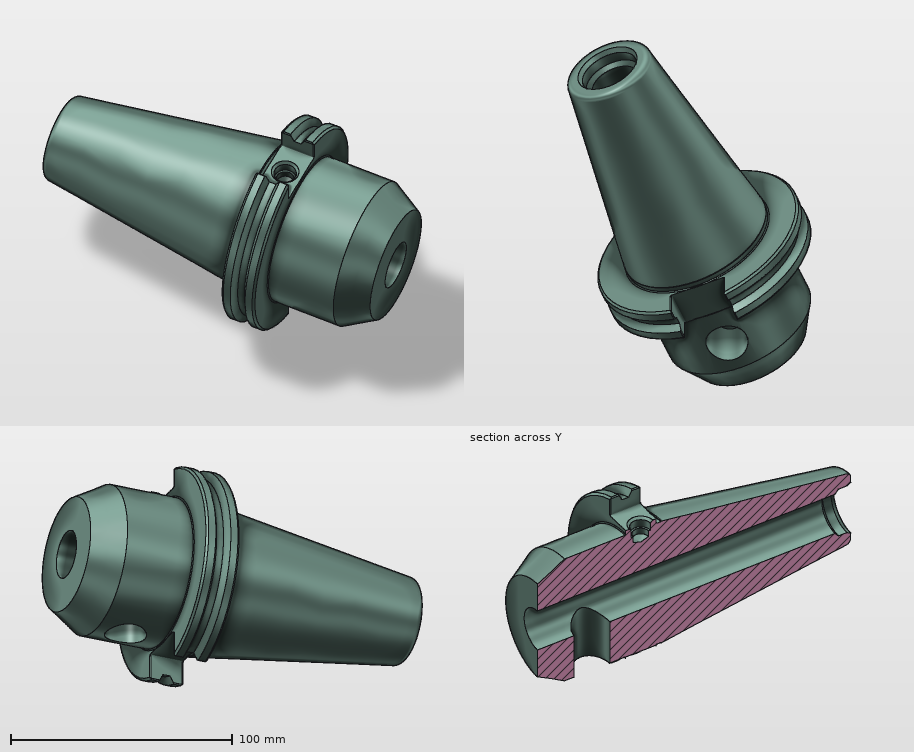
import cadquery as cq
import math

total_length = 168.3
gauge_length = 101.6
flange_start = 104.5
flange_end = 121.0
nose_start = 153.8

gauge_diameter = 69.8
taper_ratio = 7 / 24
taper_end_round = 3.0
neck_diameter = 69.3
neck_bevel_length = 0.5
root_bevel_length = 0.3
root_bevel_height = 0.7
nose_angle = 30.0

flange_diameter = 98.5
flange_chamfer = 1.0
groove_floor_width = 3.4
groove_depth = 3.5
groove_wall_angle = 30.0

slot_width = 25.7
slot_edge_break = 0.5
upper_slot_height = 37.4
lower_slot_height = 35.0

bore_diameter = 22.0
pilot_diameter = 26.5
bore_mouth_diameter = 29.0
pilot_start = 2.2
pilot_end = 6.7
pilot_cone_angle = 100.0

slot_hole_diameter = 10.1
slot_hole_mouth_diameter = 12.5
slot_hole_depth = 5.2
drill_diameter = 8.0
drill_depth = 8.4
drill_point_angle = 140.0

clamp_hole_diameter = 19.0
clamp_hole_x = 139.0

gauge_radius = gauge_diameter / 2
flange_radius = flange_diameter / 2
flange_middle = (flange_start + flange_end) / 2


def revolve_about_x(profile):
    return profile.close().revolve(360, (0, 0, 0), (1, 0, 0))


def revolve_about_z(profile):
    return profile.close().revolve(360, (0, 0, 0), (0, 1, 0))


def make_taper():
    small_radius = gauge_radius - gauge_length * taper_ratio / 2
    cone = revolve_about_x(
        cq.Workplane("XY")
        .lineTo(0, small_radius)
        .lineTo(gauge_length, gauge_radius)
        .lineTo(gauge_length, 0)
    )
    return cone.faces("<X").edges().fillet(taper_end_round)


def make_neck():
    """Relief neck, bevelled down from the taper and up into the flange."""
    neck_radius = neck_diameter / 2
    return revolve_about_x(
        cq.Workplane("XY")
        .moveTo(gauge_length, 0)
        .lineTo(gauge_length, gauge_radius)
        .lineTo(gauge_length + neck_bevel_length, neck_radius)
        .lineTo(flange_start - root_bevel_length, neck_radius)
        .lineTo(flange_start, neck_radius + root_bevel_height)
        .lineTo(flange_start, 0)
    )


def make_flange():
    flange_width = flange_end - flange_start
    disc = cq.Workplane("YZ", (flange_start, 0, 0)).circle(flange_radius).extrude(flange_width)
    return disc.edges().chamfer(flange_chamfer).cut(make_groove())


def make_groove():
    floor_half = groove_floor_width / 2
    mouth_half = floor_half + groove_depth * math.tan(math.radians(groove_wall_angle))
    floor_radius = flange_radius - groove_depth
    return revolve_about_x(
        cq.Workplane("XY")
        .moveTo(flange_middle - floor_half, floor_radius)
        .lineTo(flange_middle + floor_half, floor_radius)
        .lineTo(flange_middle + mouth_half, flange_radius)
        .lineTo(flange_middle - mouth_half, flange_radius)
    )


def make_front_body():
    nose_length = total_length - nose_start
    end_radius = gauge_radius - nose_length * math.tan(math.radians(nose_angle))
    return revolve_about_x(
        cq.Workplane("XY")
        .moveTo(flange_end, 0)
        .lineTo(flange_end, gauge_radius + root_bevel_height)
        .lineTo(flange_end + root_bevel_length, gauge_radius)
        .lineTo(nose_start, gauge_radius)
        .lineTo(total_length, end_radius)
        .lineTo(total_length, 0)
    )


def make_drive_slot(floor_height):
    """Slot across the top of the flange, with its long outer edges and its end edges broken."""
    half_width = slot_width / 2
    flare_half_width = half_width + slot_edge_break
    rim_height = math.sqrt(flange_radius**2 - flare_half_width**2)
    slot = (
        cq.Workplane("YZ", (flange_start, 0, 0))
        .moveTo(-half_width, floor_height)
        .lineTo(half_width, floor_height)
        .lineTo(half_width, rim_height - slot_edge_break)
        .lineTo(flare_half_width, rim_height)
        .lineTo(flare_half_width, flange_radius)
        .lineTo(-flare_half_width, flange_radius)
        .lineTo(-flare_half_width, rim_height)
        .lineTo(-half_width, rim_height - slot_edge_break)
        .close()
        .extrude(flange_end - flange_start)
        .edges("|X and <Z")
        .fillet(slot_edge_break)
    )
    for face_x, inward in ((flange_start, 1), (flange_end, -1)):
        slot = slot.union(make_slot_end_flare(floor_height, face_x, inward))
    return slot


def make_slot_end_flare(floor_height, face_x, inward):
    """Wedge that breaks the slot's wall edges at one flange face; inward is the X sign into the flange."""
    half_width = slot_width / 2
    flare_half_width = half_width + slot_edge_break
    inner_x = face_x + inward * slot_edge_break
    flare_floor = floor_height + slot_edge_break
    return (
        cq.Workplane("XY", (0, 0, flare_floor))
        .moveTo(face_x, -flare_half_width)
        .lineTo(face_x, flare_half_width)
        .lineTo(inner_x, half_width)
        .lineTo(inner_x, -half_width)
        .close()
        .extrude(flange_radius - flare_floor)
    )


def make_bore():
    cone_length = (pilot_diameter - bore_diameter) / 2 / math.tan(math.radians(pilot_cone_angle / 2))
    return revolve_about_x(
        cq.Workplane("XY")
        .lineTo(0, bore_mouth_diameter / 2)
        .lineTo(pilot_start, pilot_diameter / 2)
        .lineTo(pilot_end, pilot_diameter / 2)
        .lineTo(pilot_end + cone_length, bore_diameter / 2)
        .lineTo(total_length, bore_diameter / 2)
        .lineTo(total_length, 0)
    )


def make_slot_hole():
    hole_radius = slot_hole_diameter / 2
    mouth_radius = slot_hole_mouth_diameter / 2
    drill_radius = drill_diameter / 2
    tip_length = drill_radius / math.tan(math.radians(drill_point_angle / 2))
    hole = revolve_about_z(
        cq.Workplane("XZ")
        .lineTo(mouth_radius, 0)
        .lineTo(hole_radius, hole_radius - mouth_radius)
        .lineTo(hole_radius, -slot_hole_depth)
        .lineTo(drill_radius, -slot_hole_depth)
        .lineTo(drill_radius, -drill_depth)
        .lineTo(0, -drill_depth - tip_length)
    )
    return hole.translate((flange_middle, 0, upper_slot_height))


def make_clamp_hole():
    return (
        cq.Workplane("XY")
        .center(clamp_hole_x, 0)
        .circle(clamp_hole_diameter / 2)
        .extrude(-gauge_diameter / 2)
    )


def make_holder():
    holder = make_taper().union(make_neck()).union(make_flange()).union(make_front_body())
    upper_slot = make_drive_slot(upper_slot_height)
    lower_slot = make_drive_slot(lower_slot_height).mirror("XY")
    for cavity in (upper_slot, lower_slot, make_bore(), make_slot_hole(), make_clamp_hole()):
        holder = holder.cut(cavity)
    return holder


holder = make_holder()

result = cq.Compound.makeCompound([holder.val()])